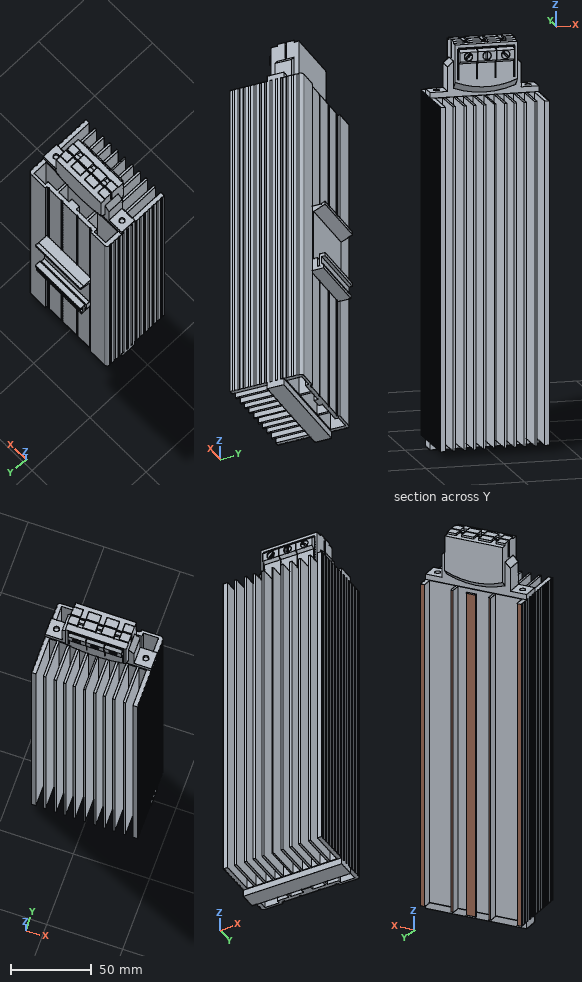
import cadquery as cq

total_height = 260.0
width = 70.0
half_width = width / 2

sink_bottom = 4.7
sink_top = 224.6
sink_depth = 49.7
side_wall = 3.0
back_wall = 1.8
corner_radius = 2.3
fin_thickness = 1.5
centre_fin_thickness = 1.0
fin_offsets = (6.8, 13.0, 19.2, 26.3)
web_offset = 13.0
rail_half_width = 21.8
rail_front = 45.5
key_half_width = 3.5
key_front = 43.0
channel_half_width = 20.0
channel_floor = 48.4
slit_offsets = (6.8, 18.5)
slit_width = 1.0
slit_depth = 0.5
groove_count = 13
first_groove = 2.3
last_groove = 46.5
groove_pitch = (last_groove - first_groove) / (groove_count - 1)
groove_width = 1.3
groove_depth = 0.3

core_front = 25.5
core_depth = 11.5
core_back = core_front + core_depth
core_overhang = 0.5
core_middle = core_front + core_depth / 2
plate_thickness = 3.6
plate_top = sink_top + plate_thickness
screw_offset = 29.5
screw_hole_diameter = 3.6
screw_hole_depth = 2.5

block_half_width = 20.0
block_front = 21.0
block_back = 40.3
shoulder = 258.7
belly_side = 230.0
belly_middle = 226.5
belly_chamfer = core_front - block_front
shoe_half_width = 23.7
shoe_top = 247.5
shoe_chamfer = shoe_half_width - block_half_width
shoe_chamfer_height = 3.6
seam_width = 0.8
seam_depth = 0.5
seam_bottom = 248.5

pad_gap = 3.6
pad_pitch = 12.0
pad_columns = (-1, 0, 1)
pocket_back = 28.3
pocket_floor = 256.0

panel_half_width = 18.0
panel_depth = 2.0
panel_front = block_front - panel_depth
panel_top = 255.5
panel_face_top = 254.0
panel_face_bottom = 248.0
panel_bottom = 246.5
divider_bottom = 236.3
divider_top = 255.5
inner_divider_width = 0.4
outer_divider_width = 0.8
inner_divider_offset = panel_half_width / 3
divider_depth = 0.8
header_height = 256.4
header_width = 0.3
header_depth = 0.3
clamp_pitch = 2 * panel_half_width / 3
clamp_height = (panel_face_top + panel_face_bottom) / 2
clamp_radius = 2.5
clamp_recess = 0.8
clamp_slot_width = 1.0
clamp_slot_depth = 1.5
clamp_slot_angles = (45, 90, 135)

clip_half_width = channel_half_width
clip_tip = 58.2
clip_back = 50.5
clip_bottom = 88.5
clip_top = 135.5
hook_tip_top = 136.8
hook_tip_bottom = 134.7
hook_root = 131.3
hook_bend = 55.5
finger_top = 99.3
finger_lip = 97.0
finger_back = 56.0
foot_top = 97.0
foot_step = 91.0
foot_back = 57.2
slot_front = 53.0
slot_back = 54.3
slot_bottom = 90.7


def box(x0, x1, y0, y1, z0, z1):
    """Box between opposite corners."""
    return cq.Workplane("XY").box(x1 - x0, y1 - y0, z1 - z0, centered=False).translate((x0, y0, z0))


def centred_box(x, size_x, y0, y1, z0, z1):
    """Box centred on x along X."""
    return box(x - size_x / 2, x + size_x / 2, y0, y1, z0, z1)


def side_profile(points, half_length):
    """Extrude a (Y, Z) outline symmetrically along X."""
    return cq.Workplane("YZ").polyline(points).close().extrude(half_length, both=True)


def sink_box(x, size_x, y0, y1):
    """Full-length wall of the heat sink."""
    return centred_box(x, size_x, y0, y1, sink_bottom, sink_top)


def make_heat_sink():
    """Finned extrusion with a heating core, a rear clip channel and grooved side walls."""
    envelope = sink_box(0, width, 0, sink_depth)
    envelope = envelope.edges("|Z and >Y").fillet(corner_radius)
    inner_width = width - 2 * side_wall
    sink = envelope.cut(sink_box(0, inner_width, 0, sink_depth - back_wall))
    sink = sink.union(sink_box(0, width, core_front - core_overhang, core_back + core_overhang))
    sink = sink.union(sink_box(0, 2 * rail_half_width, rail_front, sink_depth))
    sink = sink.cut(sink_box(0, 2 * channel_half_width, channel_floor, sink_depth))
    sink = sink.union(sink_box(0, 2 * key_half_width, key_front, channel_floor))
    sink = sink.union(sink_box(0, centre_fin_thickness, 0, core_middle))
    for side in (-1, 1):
        for offset in fin_offsets:
            sink = sink.union(sink_box(side * offset, fin_thickness, 0, core_middle))
        sink = sink.union(sink_box(side * web_offset, fin_thickness, core_middle, channel_floor))
        for offset in slit_offsets:
            sink = sink.cut(sink_box(side * offset, slit_width, channel_floor - slit_depth, channel_floor))
        for index in range(groove_count):
            y = first_groove + index * groove_pitch
            groove = sink_box(side * half_width, 2 * groove_depth, y - groove_width / 2, y + groove_width / 2)
            sink = sink.cut(groove)
    return sink


def make_end_plates():
    """Plates closing the core at both ends, the upper one with two screw holes."""
    bottom = centred_box(0, width, core_front, core_back, 0, sink_bottom)
    top = centred_box(0, width, core_front, core_back, sink_top, plate_top)
    holes = (
        cq.Workplane("XY", origin=(0, core_middle, plate_top))
        .pushPoints([(-screw_offset, 0), (screw_offset, 0)])
        .circle(screw_hole_diameter / 2)
        .extrude(-screw_hole_depth)
    )
    return bottom.union(top.cut(holes))


def make_block_body():
    """Terminal housing with a curved, chamfered belly, standing in a shoe on the upper plate."""
    body = (
        cq.Workplane("XZ", origin=(0, block_front, 0))
        .moveTo(-block_half_width, shoulder)
        .lineTo(-block_half_width, belly_side)
        .threePointArc((0, belly_middle), (block_half_width, belly_side))
        .lineTo(block_half_width, shoulder)
        .close()
        .extrude(block_front - block_back)
    )
    body = body.edges("%CIRCLE").chamfer(belly_chamfer)
    shoe = (
        centred_box(0, 2 * shoe_half_width, core_front, core_back, sink_top, shoe_top)
        .faces(">Z").edges("|Y")
        .chamfer(shoe_chamfer_height, shoe_chamfer)
    )
    return body.union(shoe)


def add_top_pads(block):
    """Raised pads with pockets between them, and a seam around the top and both ends."""
    length = 2 * block_half_width
    pads = centred_box(0, length, core_front, core_back, shoulder, total_height)
    for column in pad_columns:
        x = column * pad_pitch
        pads = pads.cut(centred_box(x, pad_gap, core_front, core_back, shoulder, total_height))
        block = block.cut(centred_box(x, pad_gap, core_front, pocket_back, pocket_floor, shoulder))
    block = block.union(pads)
    seam = centred_box(
        0, length, core_middle - seam_width / 2, core_middle + seam_width / 2, seam_bottom, total_height
    )
    seam_core = centred_box(
        0, length - 2 * seam_depth, core_front, core_back, seam_bottom, shoulder - seam_depth
    )
    return block.cut(seam.cut(seam_core))


def add_screw_panel(block):
    """Projecting panel with three slotted clamp screws, split by upright dividers."""
    panel = side_profile(
        [
            (block_front, panel_top),
            (panel_front, panel_face_top),
            (panel_front, panel_face_bottom),
            (block_front, panel_bottom),
        ],
        panel_half_width,
    )
    block = block.union(panel)
    divider_back = block_front + divider_depth
    for side in (-1, 1):
        for offset, thickness in (
            (inner_divider_offset, inner_divider_width),
            (panel_half_width, outer_divider_width),
        ):
            block = block.cut(
                centred_box(side * offset, thickness, panel_front, divider_back, divider_bottom, divider_top)
            )
    header = centred_box(
        0,
        2 * panel_half_width,
        block_front,
        block_front + header_depth,
        header_height - header_width / 2,
        header_height + header_width / 2,
    )
    block = block.cut(header)
    for index, angle in enumerate(clamp_slot_angles):
        x = (index - 1) * clamp_pitch
        face = cq.Workplane("XZ", origin=(x, panel_front, clamp_height))
        recess = face.circle(clamp_radius).extrude(-clamp_recess)
        slot = face.slot2D(2 * clamp_radius, clamp_slot_width, angle).extrude(-clamp_slot_depth)
        block = block.cut(recess).cut(slot)
    return block


def make_rail_clip():
    """Strip in the rear channel with a fixed hook above and a sprung foot below."""
    upper_hook = [
        (clip_tip, hook_tip_top),
        (hook_bend, clip_top),
        (sink_depth, clip_top),
        (sink_depth, hook_root),
        (clip_back, hook_root),
        (clip_tip, hook_tip_bottom),
    ]
    spring_foot = [
        (clip_tip, finger_top),
        (slot_back, finger_top),
        (slot_back, slot_bottom),
        (slot_front, slot_bottom),
        (slot_front, foot_top),
        (sink_depth, foot_top),
        (sink_depth, clip_bottom),
        (foot_back, clip_bottom),
        (foot_back, foot_step),
        (finger_back, foot_step + foot_back - finger_back),
        (finger_back, finger_lip),
        (clip_tip, finger_lip),
    ]
    strip = centred_box(0, 2 * clip_half_width, channel_floor, clip_back, clip_bottom, clip_top)
    clip = strip.union(side_profile(upper_hook, clip_half_width))
    return clip.union(side_profile(spring_foot, clip_half_width))


terminal_block = add_screw_panel(add_top_pads(make_block_body()))
result = make_heat_sink().union(make_end_plates()).union(terminal_block).union(make_rail_clip())